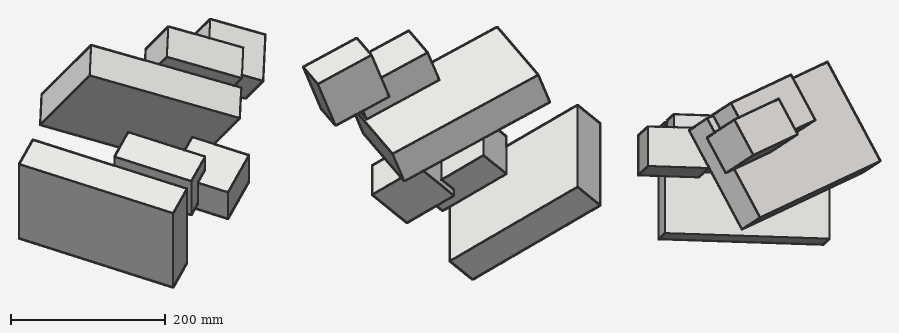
import cadquery as cq

THICKNESS = 46.0
PANEL_LENGTH = 216.5
PANEL_HEIGHT = 145.8
MIDDLE_LENGTH = 108.0
MIDDLE_HEIGHT = 66.7
REAR_LENGTH = 79.8
REAR_THICKNESS = 69.7
REAR_HEIGHT = 52.2

MIDDLE_GAP = 14.0
MIDDLE_X = PANEL_LENGTH - MIDDLE_LENGTH
MIDDLE_Y = THICKNESS + MIDDLE_GAP
MIDDLE_Z = PANEL_HEIGHT - MIDDLE_HEIGHT

REAR_OVERHANG = 42.5
REAR_OVERLAP = 24.5
REAR_DROP = 10.8
REAR_X = PANEL_LENGTH + REAR_OVERHANG - REAR_LENGTH
REAR_Y = MIDDLE_Y + THICKNESS - REAR_OVERLAP
REAR_Z = MIDDLE_Z - REAR_DROP

TURN_ANGLE = 23.2
TILT_ANGLE = 28.6
TILTED_ORIGIN = (-26.5, 132.0, 72.5)


def block(length, thickness, height, corner):
    """Box with its lower front left corner at the given place."""
    return cq.Workplane("XY").box(length, thickness, height, centered=False).translate(corner)


def panel():
    return block(PANEL_LENGTH, THICKNESS, PANEL_HEIGHT, (0, 0, 0))


def middle_block():
    return block(MIDDLE_LENGTH, THICKNESS, MIDDLE_HEIGHT, (MIDDLE_X, MIDDLE_Y, MIDDLE_Z))


def rear_block():
    """Rear block, notched where the middle block sits in it."""
    whole = block(REAR_LENGTH, REAR_THICKNESS, REAR_HEIGHT, (REAR_X, REAR_Y, REAR_Z))
    return whole.cut(middle_block())


def upright(body):
    return body


def tilted(body):
    origin = (0, 0, 0)
    turned = body.rotate(origin, (0, 0, 1), TURN_ANGLE)
    return turned.rotate(origin, (0, 1, 0), TILT_ANGLE).translate(TILTED_ORIGIN)


bodies = []
for place in (upright, tilted):
    for make_body in (panel, middle_block, rear_block):
        bodies.append(place(make_body()).val())

result = cq.Compound.makeCompound(bodies)